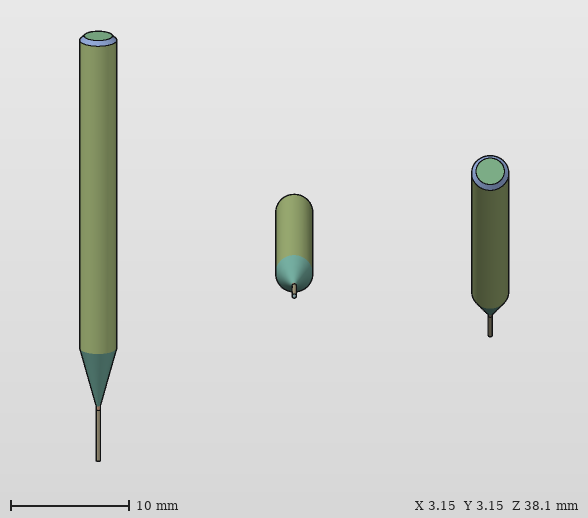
import cadquery as cq

total_length = 38.1
shank_diameter = 3.15
shank_chamfer = 0.4

cutter_diameter = 0.4
cutter_length = 4.57
neck_length = 0.35
taper_length = 5.2

tip_z = -total_length / 2
cutter_top_z = tip_z + cutter_length
neck_top_z = cutter_top_z + neck_length
taper_top_z = neck_top_z + taper_length
shank_top_z = total_length / 2


def make_shank():
    """Round shank with a chamfered top, tapering to a short neck."""
    shank_radius = shank_diameter / 2
    neck_radius = cutter_diameter / 2
    half_profile = (
        cq.Workplane("XZ")
        .moveTo(0, cutter_top_z)
        .lineTo(neck_radius, cutter_top_z)
        .lineTo(neck_radius, neck_top_z)
        .lineTo(shank_radius, taper_top_z)
        .lineTo(shank_radius, shank_top_z - shank_chamfer)
        .lineTo(shank_radius - shank_chamfer, shank_top_z)
        .lineTo(0, shank_top_z)
        .close()
    )
    return half_profile.revolve(360, (0, 0), (0, 1))


def make_cutter():
    """Plain round cutter that butts against the end of the neck."""
    return (
        cq.Workplane("XY")
        .workplane(offset=tip_z)
        .circle(cutter_diameter / 2)
        .extrude(cutter_length)
    )


shank = make_shank()
cutter = make_cutter()

result = cq.Compound.makeCompound([shank.val(), cutter.val()])